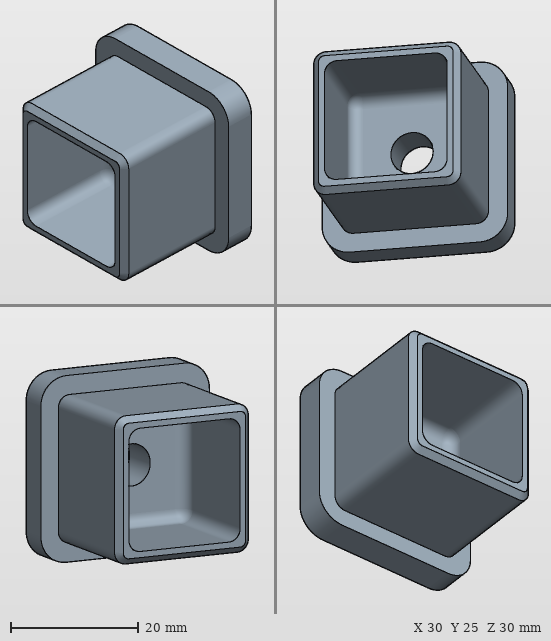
import cadquery as cq

flange_side = 30.0
flange_thickness = 5.0
flange_corner_radius = 4.5

total_length = 25.0
plug_length = total_length - flange_thickness
plug_side = 23.82
plug_corner_radius = 2.0
tip_chamfer = 1.02

wall_thickness = 2.0
cavity_side = plug_side - 2 * wall_thickness
cavity_radius = 2.0
cavity_depth = 18.0

hole_diameter = 6.8


def square_bar(side, corner_radius, start_y, length):
    """Square bar with rounded corners, running toward +Y from start_y."""
    return (
        cq.Workplane("XZ", origin=(0, start_y, 0))
        .rect(side, side)
        .extrude(-length)
        .edges("|Y")
        .fillet(corner_radius)
    )


flange = square_bar(flange_side, flange_corner_radius, plug_length, flange_thickness)

plug = square_bar(plug_side, plug_corner_radius, 0, plug_length)
plug = plug.faces("<Y").chamfer(tip_chamfer)

cavity = square_bar(cavity_side, cavity_radius, 0, cavity_depth)
cavity = cavity.faces(">Y").edges().fillet(cavity_radius)

screw_hole = cq.Workplane("XZ").circle(hole_diameter / 2).extrude(-total_length)

result = flange.union(plug).cut(cavity).cut(screw_hole)